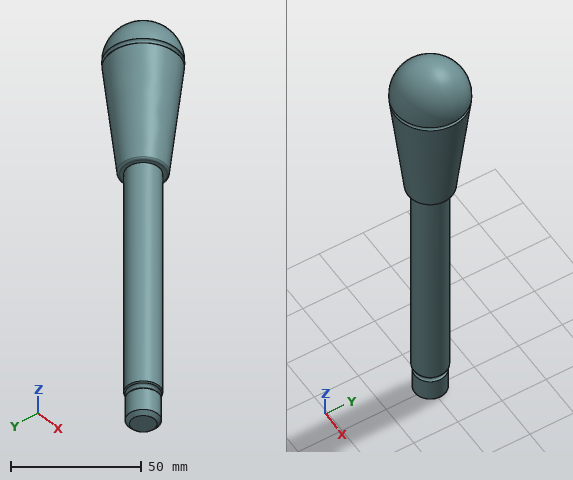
import cadquery as cq
import math

total_height = 190.0

thread_radius = 14.0 / 2
thread_root_radius = 11.8 / 2
thread_tip_radius = 10.6 / 2
thread_end_chamfer_height = 1.7
thread_top = 12.0

rod_radius = 15.0 / 2
rod_bottom = 14.5
rod_chamfer = rod_radius - thread_radius

undercut_fillet = thread_radius - thread_root_radius

grip_bottom = 120.0
grip_bottom_radius = 10.0
grip_bottom_round = 1.0
grip_top = 171.3
grip_top_radius = 15.85

groove_height = 2.0
groove_depth = 0.8
ball_radius = 16.0
ball_center = total_height - ball_radius
ball_bottom = grip_top + groove_height


def revolve_about_z(outline):
    """Turn a closed half outline in the XZ plane into a solid of revolution about Z."""
    return outline.revolve(360, (0, 0, 0), (0, 1, 0))


def make_stud():
    """Rod with the undercut and the thread body at its lower end."""
    outline = (
        cq.Workplane("XZ")
        .moveTo(0, 0)
        .lineTo(thread_tip_radius, 0)
        .lineTo(thread_radius, thread_end_chamfer_height)
        .lineTo(thread_radius, thread_top)
        .radiusArc((thread_root_radius, thread_top + undercut_fillet), undercut_fillet)
        .lineTo(thread_root_radius, rod_bottom - undercut_fillet)
        .radiusArc((thread_radius, rod_bottom), undercut_fillet)
        .lineTo(rod_radius, rod_bottom + rod_chamfer)
        .lineTo(rod_radius, grip_top)
        .lineTo(0, grip_top)
        .close()
    )
    return revolve_about_z(outline)


def make_grip():
    """Tapered grip with a rounded lower rim."""
    outline = (
        cq.Workplane("XZ")
        .moveTo(0, grip_bottom)
        .lineTo(grip_bottom_radius, grip_bottom)
        .lineTo(grip_top_radius, grip_top)
        .lineTo(0, grip_top)
        .close()
    )
    grip = revolve_about_z(outline)
    return grip.faces("<Z").edges().fillet(grip_bottom_round)


def make_ball():
    """Ball end, cut flat below its equator, with the concave groove under it."""
    rim_radius = math.sqrt(ball_radius**2 - (ball_center - ball_bottom) ** 2)
    groove_floor = (grip_top_radius - groove_depth, grip_top + groove_height / 2)
    diagonal = ball_radius * math.sqrt(0.5)
    outline = (
        cq.Workplane("XZ")
        .moveTo(0, grip_top)
        .lineTo(grip_top_radius, grip_top)
        .threePointArc(groove_floor, (rim_radius, ball_bottom))
        .threePointArc((diagonal, ball_center + diagonal), (0, total_height))
        .close()
    )
    return revolve_about_z(outline)


result = make_stud().union(make_grip()).union(make_ball())